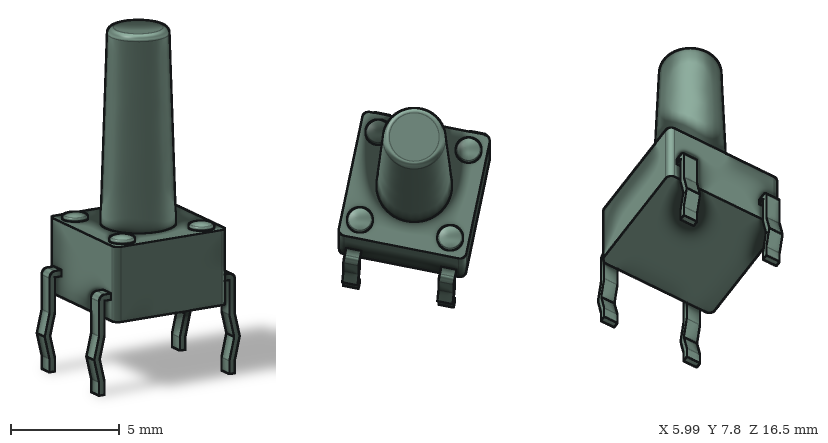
import cadquery as cq
import math

body_side = 5.99
body_height = 3.61
corner_radius = 0.3

overall_height = 16.51
lead_depth = 3.5
stem_height = overall_height - lead_depth - body_height
stem_base_radius = 1.75
stem_top_radius = 1.44
stem_edge_radius = 0.3

rivet_count = 4
rivet_circle_radius = 3.0
first_rivet_angle = 45
rivet_radius = 0.6
rivet_height = 0.28
rivet_rim_height = 0.14
rivet_edge_radius = 0.12

lead_width = 0.72
lead_thickness = 0.3
lead_spacing = 4.47
lead_embedding = 0.3
lead_top = 1.32
lead_outer = 3.64
kink_outer = 3.9
kink_start = -0.65
kink_middle = -1.75
kink_end = -2.86


def make_body():
    block = cq.Workplane("XY").box(body_side, body_side, body_height, centered=(True, True, False))
    return block.edges("|Z").fillet(corner_radius)


def make_stem():
    cone = (
        cq.Workplane("XY", origin=(0, 0, body_height))
        .circle(stem_base_radius)
        .workplane(offset=stem_height)
        .circle(stem_top_radius)
        .loft()
    )
    return cone.faces(">Z").edges().fillet(stem_edge_radius)


def make_rivet(x, y):
    """Low disc with a spherical cap on top and a rounded rim."""
    cap_height = rivet_height - rivet_rim_height
    cap_radius = (rivet_radius**2 + cap_height**2) / (2 * cap_height)
    half_angle = math.asin(rivet_radius / cap_radius) / 2
    arc_middle = (
        cap_radius * math.sin(half_angle),
        rivet_height - cap_radius * (1 - math.cos(half_angle)),
    )
    rivet = (
        cq.Workplane("XZ")
        .lineTo(rivet_radius, 0)
        .lineTo(rivet_radius, rivet_rim_height)
        .threePointArc(arc_middle, (0, rivet_height))
        .close()
        .revolve(360, (0, 0), (0, 1))
    )
    rim = cq.selectors.NearestToPointSelector((0, 0, rivet_rim_height))
    return rivet.edges(rim).fillet(rivet_edge_radius).translate((x, y, body_height))


def make_lead(x):
    """Lead on the +Y side: straight out of the body, bent down, with one outward kink."""
    root = body_side / 2 - lead_embedding
    lead_inner = lead_outer - lead_thickness
    kink_inner = kink_outer - lead_thickness
    bend_start = lead_top - lead_thickness
    outline = [
        (root, lead_top),
        (lead_outer, lead_top),
        (lead_outer, kink_start),
        (kink_outer, kink_middle),
        (lead_outer, kink_end),
        (lead_outer, -lead_depth),
        (lead_inner, -lead_depth),
        (lead_inner, kink_end),
        (kink_inner, kink_middle),
        (lead_inner, kink_start),
        (lead_inner, bend_start),
        (root, bend_start),
    ]
    strip = cq.Workplane("YZ").polyline(outline).close().extrude(lead_width / 2, both=True)
    outer_bend = cq.selectors.NearestToPointSelector((0, lead_outer, lead_top))
    return strip.edges(outer_bend).fillet(lead_thickness).translate((x, 0, 0))


result = make_body().union(make_stem())

for index in range(rivet_count):
    angle = math.radians(first_rivet_angle + index * 360 / rivet_count)
    rivet_x = rivet_circle_radius * math.cos(angle)
    rivet_y = rivet_circle_radius * math.sin(angle)
    result = result.union(make_rivet(rivet_x, rivet_y))

for lead_x in (-lead_spacing / 2, lead_spacing / 2):
    lead = make_lead(lead_x)
    result = result.union(lead).union(lead.mirror("XZ"))